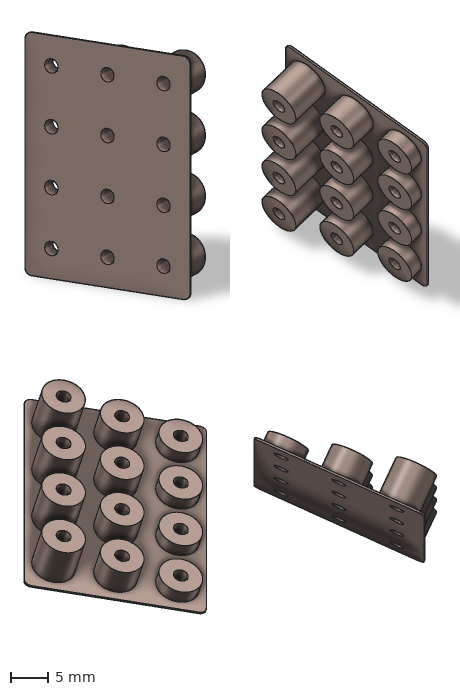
import cadquery as cq

plate_width = 25.0
plate_height = 34.0
plate_thickness = 0.3
corner_radius = 1.0

spacer_diameter = 6.0
hole_diameter = 2.0
tallest_spacer = 6.0
pitch = 8.5
columns = 3
rows = 4


def column_x(column):
    """X position of a column, with the columns centred on the plate."""
    return (column - (columns - 1) / 2) * pitch


def column_points(column):
    """Spacer centres (X, Z) of one column, centred on the plate."""
    return [(column_x(column), (row - (rows - 1) / 2) * pitch) for row in range(rows)]


def extrude_back(sketch, depth):
    """Extrude toward +Y; the XZ workplane normal points to -Y."""
    return sketch.extrude(-depth)


plate_outline = cq.Workplane("XZ").rect(plate_width, plate_height)
result = extrude_back(plate_outline, plate_thickness).edges("|Y").fillet(corner_radius)

for column in range(columns):
    spacer_height = tallest_spacer * (column + 1) / columns
    total_depth = plate_thickness + spacer_height
    centres = cq.Workplane("XZ").pushPoints(column_points(column))
    result = result.union(extrude_back(centres.circle(spacer_diameter / 2), total_depth))
    result = result.cut(extrude_back(centres.circle(hole_diameter / 2), total_depth))